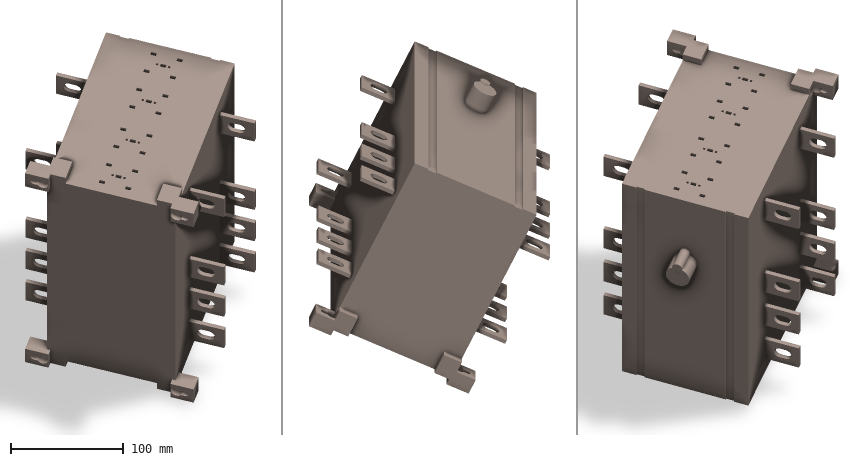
import cadquery as cq


body_width = 119.8
body_depth = 176.5
body_height = 249.0

groove_width = 8.0
groove_depth = 1.0
groove_x = 42.5

total_height = 265.0
pad_inner_x = 42.5
pad_depth = 19.5
foot_inner_x = 56.7
foot_outer_x = 78.5
foot_height = 18.5
foot_front_y = -5.5
foot_back_y = 9.3
keyhole_x = 62.3
keyhole_radius = 5.3
keyhole_slot_radius = 3.0
keyhole_slot_length = 8.2
keyhole_end_y = 16.5

terminal_span = 185.0
terminal_height = 25.5
terminal_thickness = 3.7
terminal_rows_y = (42.5, 133.3)
terminal_levels_z = (92.0, -4.0, -48.0, -92.0)
terminal_slot_length = 16.5
terminal_slot_height = 11.5
terminal_slot_centers_x = (-77.0, 75.5)

knob_radius = 11.0
knob_z = 44.0
knob_length = 19.5
pointer_radius = 4.8
pointer_z = 56.5
pointer_length = 20.5

vent_groups_y = (21.7, 64.5, 112.0, 155.0)
vent_depth = 5.3
vent_length = 5.3
vent_width = 3.2
corner_vent_x = 12.2
corner_vent_y = 10.3
side_vent_size = 2.0
side_vent_x = 5.5

half_width = body_width / 2
half_height = body_height / 2


def box_between(x_range, y_range, z_range):
    """Box filling the given (low, high) range along each axis."""
    size = [high - low for low, high in (x_range, y_range, z_range)]
    corner = (x_range[0], y_range[0], z_range[0])
    return cq.Workplane("XY").box(*size, centered=False).translate(corner)


def rod_along_y(x, z, radius, y_start, y_end):
    """Cylinder along Y from y_start to y_end."""
    rod = cq.Workplane("XZ").circle(radius).extrude(y_start - y_end)
    return rod.translate((x, y_start, z))


def four_corners(shape):
    """Shape at the +X +Z corner, mirrored to all four corners."""
    both_sides = shape.union(shape.mirror("YZ"))
    return both_sides.union(both_sides.mirror("XY"))


def housing():
    body = cq.Workplane("XY").box(body_width, body_depth, body_height)
    body = body.translate((0, body_depth / 2, 0))
    for x in (-groove_x, groove_x):
        groove = cq.Workplane("XY").box(groove_width, 2 * groove_depth, body_height)
        body = body.cut(groove.translate((x, body_depth, 0)))
    return body


def corner_feet():
    top = total_height / 2
    pad = box_between((pad_inner_x, half_width), (0, pad_depth), (half_height, top))
    foot = box_between(
        (foot_inner_x, foot_outer_x), (foot_front_y, foot_back_y), (top - foot_height, top)
    )
    return four_corners(pad.union(foot))


def keyholes():
    """Keyhole cutters; each large end also reaches into the side of the housing."""
    z = (total_height - foot_height) / 2
    slot_end_x = keyhole_x + keyhole_slot_length
    hole = rod_along_y(keyhole_x, z, keyhole_radius, foot_front_y, keyhole_end_y)
    slot_end = rod_along_y(slot_end_x, z, keyhole_slot_radius, foot_front_y, keyhole_end_y)
    neck = box_between(
        (keyhole_x, slot_end_x),
        (foot_front_y, keyhole_end_y),
        (z - keyhole_slot_radius, z + keyhole_slot_radius),
    )
    return four_corners(hole.union(slot_end).union(neck))


def terminal_bar(y, z):
    """Flat bar through the housing with a slotted bolt hole at each end."""
    bar = cq.Workplane("XY").box(terminal_span, terminal_thickness, terminal_height)
    slots = (
        cq.Workplane("XZ")
        .pushPoints([(x, 0) for x in terminal_slot_centers_x])
        .slot2D(terminal_slot_length, terminal_slot_height)
        .extrude(terminal_thickness, both=True)
    )
    return bar.cut(slots).translate((0, y, z))


def knob():
    """Round shaft with a slightly longer round pointer on its upper edge."""
    shaft = rod_along_y(0, knob_z, knob_radius, body_depth, body_depth + knob_length)
    pointer = rod_along_y(0, pointer_z, pointer_radius, body_depth, body_depth + pointer_length)
    return shaft.union(pointer)


def vent_group(y):
    """Cutter for four corner pockets around a centre pocket with two small neighbours."""
    corners = [(x, dy) for x in (-corner_vent_x, corner_vent_x) for dy in (-corner_vent_y, corner_vent_y)]
    top = cq.Workplane("XY").workplane(offset=half_height)
    large = top.pushPoints(corners + [(0, 0)]).rect(vent_length, vent_width).extrude(-vent_depth)
    small = (
        top.pushPoints([(-side_vent_x, 0), (side_vent_x, 0)])
        .rect(side_vent_size, side_vent_size)
        .extrude(-vent_depth)
    )
    return large.union(small).translate((0, y, 0))


result = housing().union(corner_feet()).cut(keyholes())

for row_y in terminal_rows_y:
    for level_z in terminal_levels_z:
        result = result.union(terminal_bar(row_y, level_z))

result = result.union(knob())

for group_y in vent_groups_y:
    result = result.cut(vent_group(group_y))